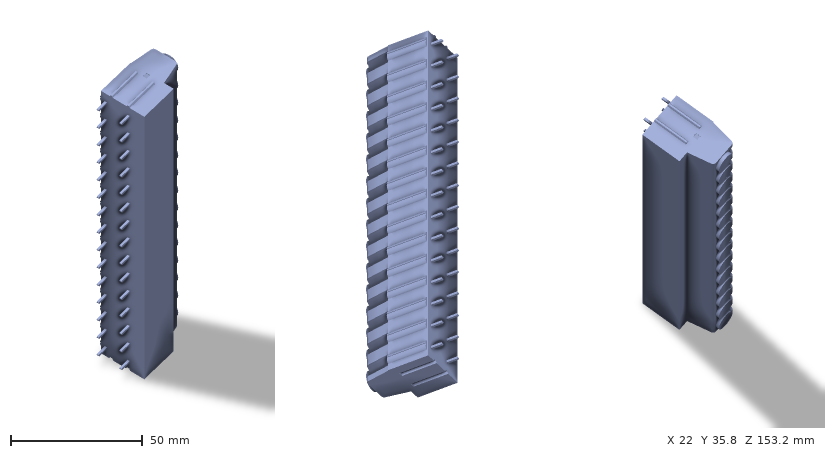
import cadquery as cq
import math

pole_count = 15
pitch = 10.16
body_length = pole_count * pitch

body_left = 1.0
body_right = 22.0
ledge_y = 18.0
top_y = 29.3
tower_left_foot = 1.25
tower_left_top = 3.15
tower_right_foot = 17.3
tower_right_top = 15.05
tower_rounding = 1.4

screw_x = 9.8
screw_diameter = 8.5
screw_top_y = 30.8

groove_radius = 2.625

rib_width = 4.4
rib_edge_x = 0.0
rib_start_y = 0.6
rib_slot_width = 0.9
rib_slot_depth = 0.3
rib_crest_rise = 0.035
rib_crest_x = rib_edge_x - rib_crest_rise

pin_x_positions = (3.4, 14.45)
pin_size = 1.0
pin_length = 5.0

key_positions = (5.95, 14.15)
key_base_width = 1.6
key_crest_width = 0.7
key_height = 0.75
keyway_clearance = 0.2
key_top_y = 15.5

recess_y = 16.7
recess_width = 1.9
recess_height = 2.1
recess_depth = 0.2

pole_heights = [(index + 0.5) * pitch for index in range(pole_count)]


def make_housing():
    """Stepped block with a tapered tower, extruded along Z."""
    outline = [
        (body_left, 0),
        (body_right, 0),
        (body_right, ledge_y),
        (tower_right_foot, ledge_y),
        (tower_right_top, top_y),
        (tower_left_top, top_y),
        (tower_left_foot, ledge_y),
        (body_left, ledge_y),
    ]
    block = cq.Workplane("XY").polyline(outline).close().extrude(body_length)
    return block.faces(">Y").edges("|Z").fillet(tower_rounding)


def make_groove(z):
    """Round cutter lying along the sloping wall, stopped at the ledge."""
    run = tower_left_top - tower_left_foot
    rise = top_y - ledge_y
    slope_length = math.hypot(run, rise)
    axis = cq.Vector(run, rise, 0)
    overshoot = groove_radius / slope_length
    foot = cq.Vector(tower_left_foot, ledge_y, z)
    start = foot - axis * overshoot
    cutter_length = slope_length + 2 * groove_radius
    cutter = cq.Workplane(cq.Solid.makeCylinder(groove_radius, cutter_length, start, axis))
    below_ledge = cq.Workplane("XY").box(4 * groove_radius, ledge_y, 4 * groove_radius)
    return cutter.cut(below_ledge.translate((tower_left_foot, ledge_y / 2, z)))


def make_rib(z):
    """Segmental rib on the left wall with a shallow slot along its crest."""
    rib = (
        cq.Workplane("XZ", origin=(0, rib_start_y, 0))
        .moveTo(body_left, z - rib_width / 2)
        .threePointArc((rib_crest_x, z), (body_left, z + rib_width / 2))
        .close()
        .extrude(rib_start_y - ledge_y)
    )
    slot = cq.Workplane("XY").box(2 * rib_slot_depth, 2 * ledge_y, rib_slot_width)
    return rib.cut(slot.translate((rib_crest_x, ledge_y, z)))


def make_screw_head(z):
    height = screw_top_y - top_y
    head = cq.Solid.makeCylinder(
        screw_diameter / 2, height, cq.Vector(screw_x, top_y, z), cq.Vector(0, 1, 0)
    )
    return cq.Workplane(head)


def make_pin(x, z):
    """Square pin below the base, its tip rounded about the X direction."""
    half = pin_size / 2
    return (
        cq.Workplane("YZ", origin=(x - half, 0, 0))
        .moveTo(0, z - half)
        .lineTo(half - pin_length, z - half)
        .threePointArc((-pin_length, z), (half - pin_length, z + half))
        .lineTo(0, z + half)
        .close()
        .extrude(pin_size)
    )


def make_key(x, base_z, clearance=0.0):
    """Trapezoidal bar running up from the base, enlarged by a clearance."""
    half_base = key_base_width / 2 + clearance
    half_crest = key_crest_width / 2 + clearance
    crest_z = base_z + key_height + clearance
    return (
        cq.Workplane("XZ")
        .moveTo(x - half_base, base_z)
        .lineTo(x + half_base, base_z)
        .lineTo(x + half_crest, crest_z)
        .lineTo(x - half_crest, crest_z)
        .close()
        .extrude(-key_top_y)
    )


def make_recess():
    recess = cq.Workplane("XY").box(recess_width, recess_height, 2 * recess_depth)
    return recess.translate((screw_x, recess_y, body_length))


result = make_housing().cut(make_recess())

for key_x in key_positions:
    result = result.cut(make_key(key_x, 0, keyway_clearance))
    result = result.union(make_key(key_x, body_length))

for pole_z in pole_heights:
    result = result.cut(make_groove(pole_z))
    result = result.union(make_rib(pole_z))
    result = result.union(make_screw_head(pole_z))
    for pin_x in pin_x_positions:
        result = result.union(make_pin(pin_x, pole_z))